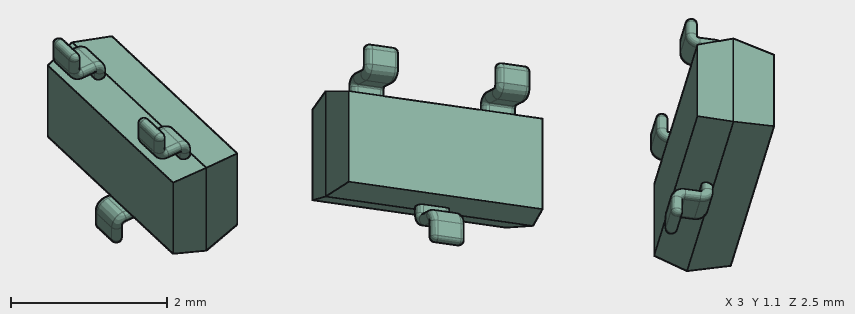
import cadquery as cq
import math

housing_length = 3.0
housing_height = 1.4
front_depth = 0.45
back_depth = 0.552
taper_inset = 0.1

lead_width = 0.48
lead_thickness = 0.15
lead_pitch = 0.95
bend_radius = 0.1
lead_front = 0.55
leads_span = 2.5
shelf_height = 0.875

edge_radius = lead_thickness / 2
root_y = -edge_radius
tail_y = edge_radius - lead_front
tail_end_z = leads_span / 2 - edge_radius
root_start_z = housing_height / 2 - taper_inset - lead_thickness


def make_housing_half(depth):
    """Half of the housing, narrowing from the parting plane to y = depth."""
    return (
        cq.Workplane("XZ")
        .rect(housing_length, housing_height)
        .workplane(offset=-depth)
        .rect(housing_length - 2 * taper_inset, housing_height - 2 * taper_inset)
        .loft(ruled=True)
    )


def make_centreline():
    """Path of the strip in the YZ plane, from its root up to the tail end."""
    bend_offset = bend_radius * (1 - math.sqrt(0.5))
    return (
        cq.Workplane("YZ")
        .moveTo(root_y, root_start_z)
        .lineTo(root_y, shelf_height - bend_radius)
        .threePointArc(
            (root_y - bend_offset, shelf_height - bend_offset),
            (root_y - bend_radius, shelf_height),
        )
        .lineTo(tail_y + bend_radius, shelf_height)
        .threePointArc(
            (tail_y + bend_offset, shelf_height + bend_offset),
            (tail_y, shelf_height + bend_radius),
        )
        .lineTo(tail_y, tail_end_z)
    )


def make_tip():
    """Rounded end of the tail: half of a bar with ball ends."""
    half_width = lead_width / 2
    flat_half = half_width - edge_radius
    return (
        cq.Workplane("XY", origin=(0, tail_y, tail_end_z))
        .moveTo(-half_width, 0)
        .radiusArc((-flat_half, edge_radius), edge_radius)
        .lineTo(flat_half, edge_radius)
        .radiusArc((half_width, 0), edge_radius)
        .close()
        .revolve(180, (0, 0, 0), (1, 0, 0))
    )


def make_lead(housing):
    """Upper lead at x = 0, ending flush on the sloping housing face."""
    strip = (
        cq.Workplane("XY", origin=(0, root_y, root_start_z))
        .slot2D(lead_width, lead_thickness)
        .sweep(make_centreline())
    )
    return strip.union(make_tip()).cut(housing).solids()


housing = make_housing_half(back_depth).union(make_housing_half(-front_depth)).solids()

lead = make_lead(housing)
leads = [lead.translate((side * lead_pitch, 0, 0)) for side in (-1, 1)]
leads.append(lead.mirror("XY"))

result = cq.Compound.makeCompound([housing.val(), *[each.val() for each in leads]])